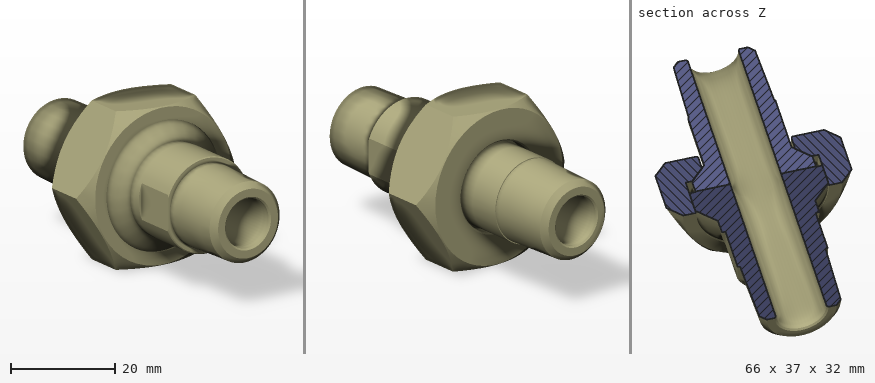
import cadquery as cq
import math

LENGTH = 66.0
LEFT_END = -LENGTH / 2
RIGHT_END = LENGTH / 2

BORE_DIA = 10.0
BORE_CHAMFER = 0.3
THREAD_LENGTH = 14.0
THREAD_CHAMFER = 1.2
THREAD_TIP_DIA = 16.3
TAPER = 1 / 16
THREAD_ROOT_DIA = THREAD_TIP_DIA + TAPER * (THREAD_LENGTH - THREAD_CHAMFER)

NUT_ACROSS_FLATS = 32.0
NUT_WIDTH = 13.5
NUT_LEFT = LEFT_END + 23.5
NUT_RIGHT = NUT_LEFT + NUT_WIDTH
NUT_FACE_DIA = 31.7
NUT_HOLE_DIA = 18.5
NUT_HOLE_CHAMFER = 0.3
NUT_BORE_DIA = 26.4

TAIL_DIA = 17.5
FLANGE_DIA = 24.1
SEAT_START = NUT_LEFT + 3.0
SEAT_END = SEAT_START + (FLANGE_DIA - NUT_HOLE_DIA) / 2
SHOULDER_START = SEAT_START - (NUT_HOLE_DIA - TAIL_DIA) / 2
JOINT_FACE = SEAT_END + 2.65

BODY_DIA = 19.5
BODY_EDGE_CHAMFER = 0.2
BODY_SHOULDER = RIGHT_END - THREAD_LENGTH
CONE_END = BODY_SHOULDER - 12.0
CONE_START = CONE_END - (NUT_BORE_DIA - BODY_DIA) / 2
FLAT_SPACING = 18.0
FLAT_LENGTH = 9.05


def revolve_profile(points):
    """Revolve a closed (x, radius) outline about the X axis."""
    return cq.Workplane("XY").polyline(points).close().revolve(360, (0, 0, 0), (1, 0, 0))


def make_tailpiece():
    bore_radius = BORE_DIA / 2
    tip_radius = THREAD_TIP_DIA / 2
    thread_end = LEFT_END + THREAD_LENGTH
    return revolve_profile([
        (LEFT_END, bore_radius + BORE_CHAMFER),
        (LEFT_END, tip_radius - THREAD_CHAMFER),
        (LEFT_END + THREAD_CHAMFER, tip_radius),
        (thread_end, THREAD_ROOT_DIA / 2),
        (thread_end, TAIL_DIA / 2),
        (SHOULDER_START, TAIL_DIA / 2),
        (SEAT_END, FLANGE_DIA / 2),
        (JOINT_FACE, FLANGE_DIA / 2),
        (JOINT_FACE, bore_radius),
        (LEFT_END + BORE_CHAMFER, bore_radius),
    ])


def make_nut():
    across_corners = NUT_ACROSS_FLATS / math.cos(math.pi / 6)
    hexagon = (
        cq.Workplane("YZ", origin=(NUT_LEFT, 0, 0))
        .polygon(6, across_corners)
        .extrude(NUT_WIDTH)
    )

    face_radius = NUT_FACE_DIA / 2
    trim_radius = across_corners / 2 + 0.65
    trim_depth = trim_radius - face_radius
    trimmer = revolve_profile([
        (NUT_LEFT, 0),
        (NUT_LEFT, face_radius),
        (NUT_LEFT + trim_depth, trim_radius),
        (NUT_RIGHT - trim_depth, trim_radius),
        (NUT_RIGHT, face_radius),
        (NUT_RIGHT, 0),
    ])

    hole_radius = NUT_HOLE_DIA / 2
    opening = revolve_profile([
        (NUT_LEFT, 0),
        (NUT_LEFT, hole_radius + NUT_HOLE_CHAMFER),
        (NUT_LEFT + NUT_HOLE_CHAMFER, hole_radius),
        (SEAT_START, hole_radius),
        (SEAT_END, FLANGE_DIA / 2),
        (SEAT_END, NUT_BORE_DIA / 2),
        (NUT_RIGHT, NUT_BORE_DIA / 2),
        (NUT_RIGHT, 0),
    ])
    return hexagon.intersect(trimmer).cut(opening)


def make_body():
    bore_radius = BORE_DIA / 2
    tip_radius = THREAD_TIP_DIA / 2
    body_radius = BODY_DIA / 2
    body = revolve_profile([
        (JOINT_FACE, bore_radius),
        (JOINT_FACE, NUT_BORE_DIA / 2),
        (CONE_START, NUT_BORE_DIA / 2),
        (CONE_END, body_radius),
        (BODY_SHOULDER - BODY_EDGE_CHAMFER, body_radius),
        (BODY_SHOULDER, body_radius - BODY_EDGE_CHAMFER),
        (BODY_SHOULDER, THREAD_ROOT_DIA / 2),
        (RIGHT_END - THREAD_CHAMFER, tip_radius),
        (RIGHT_END, tip_radius - THREAD_CHAMFER),
        (RIGHT_END, bore_radius + BORE_CHAMFER),
        (RIGHT_END - BORE_CHAMFER, bore_radius),
    ])

    for side in (-1, 1):
        cutter = cq.Workplane("XY").box(FLAT_LENGTH, BODY_DIA, BODY_DIA).translate(
            (BODY_SHOULDER - FLAT_LENGTH / 2, side * (FLAT_SPACING + BODY_DIA) / 2, 0)
        )
        body = body.cut(cutter)
    return body


tailpiece = make_tailpiece()
nut = make_nut()
main_body = make_body()

result = cq.Compound.makeCompound([tailpiece.val(), nut.val(), main_body.val()])